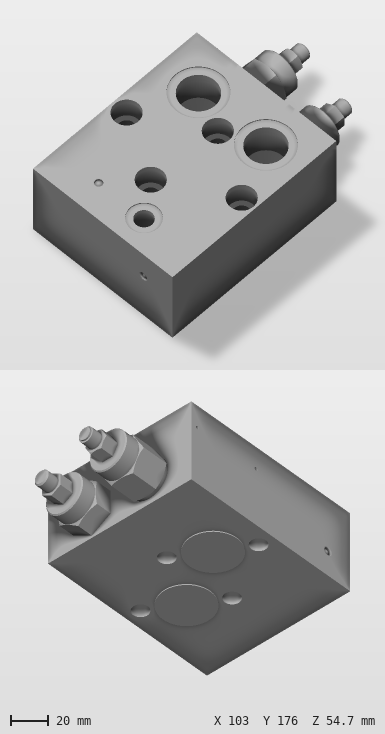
import cadquery as cq
import math

block_length_x = 103.0
block_length_y = 125.0
overall_length_y = 176.0
block_height = 54.0

relief = 0.7

drill_tip_angle = 118
port_row_y = 97.2
large_port_points = [(28.2, port_row_y), (78.0, port_row_y)]
large_port_diameter = 24.1
large_port_face_diameter = 34.0
large_port_depth = 21.1
small_port_point = (65.0, 17.6)
small_port_diameter = 11.5
small_port_face_diameter = 20.0
small_port_depth = 15.8

mounting_points = [(53.2, 86.0), (10.0, 61.0), (93.0, 63.2), (50.0, 38.2)]
mounting_diameter = 10.5
mounting_bore_diameter = 17.0
mounting_bore_depth = 14.0

plug_mouth_diameter = 6.0
plug_mouth_depth = 0.2
plug_diameter = 5.0
plug_depth = 1.4
plug_apex_depth = 0.2
top_plug_point = (31.5, 17.6, block_height)
front_plug_point = (81.5, 0, 34.5)
side_plug_point = (0, 17.6, 16.9)

pinhole_diameter = 2.1
pinhole_depth = 0.5
pinhole_points = [(0, 120.2, 38.7), (0, 74.1, 38.7)]

seal_diameter = 34.0
seal_points = [(31.5, 73.4), (71.5, 50.5)]

valve_axis_z = 17.0
cap_diameter = 26.5
cap_chamfer = 0.7
body_hex_flats = 27.0
nut_hex_flats = 13.2
stem_diameter = 10.0
stem_tip_diameter = 8.0
stem_tip_length = 1.0
hex_chamfer_angle = 30
nut_face_diameter = 13.0

tall_valve_x = 30.1
tall_neck_top = 2.3
tall_body_top = 22.7
tall_cap_top = 33.0
tall_nut_top = 42.6
tall_stem_top = overall_length_y - block_length_y

short_valve_x = 71.5
short_body_top = 12.0
short_cap_top = 22.2
short_nut_top = 31.9
short_stem_top = 40.3
short_stem_chamfer = 0.9


def turned_tool(profile, point, direction):
    """Turn a (radius, height) profile about its height axis, then aim that axis along a direction."""
    tool = cq.Workplane("XZ").polyline(profile).close().revolve(360, (0, 0), (0, 1)).val()
    plane = cq.Plane(origin=point, normal=direction)
    return cq.Workplane(tool.moved(cq.Location(plane)))


def drill(point, direction, diameter, depth):
    """Straight bore of the given depth ending in a conical tip."""
    radius = diameter / 2
    tip_length = radius / math.tan(math.radians(drill_tip_angle / 2))
    profile = [(0, 0), (radius, 0), (radius, -depth), (0, -depth - tip_length)]
    return turned_tool(profile, point, direction)


def port(point, diameter, face_diameter, depth):
    """Drilled port with a shallow spot face, entering from the top face."""
    top_point = (*point, block_height)
    spot_face = cq.Workplane(origin=top_point).circle(face_diameter / 2).extrude(-relief)
    return drill(top_point, (0, 0, 1), diameter, depth).union(spot_face)


def mounting_hole(point):
    """Through hole with a deep counterbore in the top face."""
    through = cq.Workplane().center(*point).circle(mounting_diameter / 2).extrude(block_height)
    bore = cq.Workplane(origin=(*point, block_height)).circle(mounting_bore_diameter / 2)
    return through.union(bore.extrude(-mounting_bore_depth))


def plug_pocket(point, direction):
    """Pocket around a plug cone whose apex stays just below the face."""
    radius = plug_diameter / 2
    mouth_radius = plug_mouth_diameter / 2
    profile = [
        (0, 0),
        (mouth_radius, 0),
        (radius, -plug_mouth_depth),
        (radius, -plug_depth),
        (0, -plug_apex_depth),
    ]
    return turned_tool(profile, point, direction)


def back_plane(valve_x, station):
    """Plane across a valve axis; local X is -X, local Y is Z, and the normal points to +Y."""
    return cq.Plane(
        origin=(valve_x, block_length_y + station, valve_axis_z),
        xDir=(-1, 0, 0),
        normal=(0, 1, 0),
    )


def cylinder(valve_x, start, end, diameter):
    """Round section of a valve between two stations."""
    return cq.Workplane(back_plane(valve_x, start)).circle(diameter / 2).extrude(end - start)


def hexagon(valve_x, start, end, flats, turn):
    """Hexagonal section of a valve; a turn of 0 puts two corners on the X direction."""
    corner_diameter = flats / math.cos(math.pi / 6)
    plane = back_plane(valve_x, start).rotated((0, 0, turn))
    return cq.Workplane(plane).polygon(6, corner_diameter).extrude(end - start)


def corner_trim(valve_x, start, end, flats, face_diameter, trim_start):
    """Turned envelope that chamfers hexagon corners at the outer end, and optionally at the start."""
    corner_radius = flats / 2 / math.cos(math.pi / 6)
    face_radius = face_diameter / 2
    length = end - start
    drop = (corner_radius - face_radius) * math.tan(math.radians(hex_chamfer_angle))
    profile = [(0, 0)]
    if trim_start:
        profile += [(face_radius, 0), (corner_radius, drop)]
    else:
        profile += [(corner_radius, 0)]
    profile += [(corner_radius, length - drop), (face_radius, length), (0, length)]
    return turned_tool(profile, (valve_x, block_length_y + start, valve_axis_z), (0, 1, 0))


def tall_valve():
    """Cartridge standing on a round neck, with flats facing up and down."""
    x = tall_valve_x
    neck = cylinder(x, 0, tall_neck_top, cap_diameter)
    body = hexagon(x, tall_neck_top, tall_body_top, body_hex_flats, 0).intersect(
        corner_trim(x, tall_neck_top, tall_body_top, body_hex_flats, cap_diameter, True)
    )
    cap = cylinder(x, tall_body_top, tall_cap_top, cap_diameter).faces(">Y").chamfer(cap_chamfer)
    nut = hexagon(x, tall_cap_top, tall_nut_top, nut_hex_flats, 0).intersect(
        corner_trim(x, tall_cap_top, tall_nut_top, nut_hex_flats, nut_face_diameter, False)
    )
    tip_start = tall_stem_top - stem_tip_length
    stem = cylinder(x, tall_nut_top, tip_start, stem_diameter)
    tip = cylinder(x, tip_start, tall_stem_top, stem_tip_diameter)
    return neck.union(body).union(cap).union(nut).union(stem).union(tip)


def short_valve():
    """Cartridge seated directly on the block, with corners pointing up and down."""
    x = short_valve_x
    body = hexagon(x, 0, short_body_top, body_hex_flats, 30).intersect(
        corner_trim(x, 0, short_body_top, body_hex_flats, cap_diameter, False)
    )
    cap = cylinder(x, short_body_top, short_cap_top, cap_diameter).faces(">Y").chamfer(cap_chamfer)
    nut = hexagon(x, short_cap_top, short_nut_top, nut_hex_flats, 30)
    stem = cylinder(x, short_nut_top, short_stem_top, stem_diameter).faces(">Y").chamfer(short_stem_chamfer)
    return body.union(cap).union(nut).union(stem)


block = cq.Workplane().box(block_length_x, block_length_y, block_height, centered=False)

for port_point in large_port_points:
    block = block.cut(port(port_point, large_port_diameter, large_port_face_diameter, large_port_depth))
block = block.cut(port(small_port_point, small_port_diameter, small_port_face_diameter, small_port_depth))

for mounting_point in mounting_points:
    block = block.cut(mounting_hole(mounting_point))

block = block.cut(plug_pocket(top_plug_point, (0, 0, 1)))
block = block.cut(plug_pocket(front_plug_point, (0, -1, 0)))
block = block.cut(plug_pocket(side_plug_point, (-1, 0, 0)))

for pinhole_point in pinhole_points:
    block = block.cut(drill(pinhole_point, (-1, 0, 0), pinhole_diameter, pinhole_depth))

seals = cq.Workplane().pushPoints(seal_points).circle(seal_diameter / 2).extrude(-relief)

result = block.union(seals).union(tall_valve()).union(short_valve())